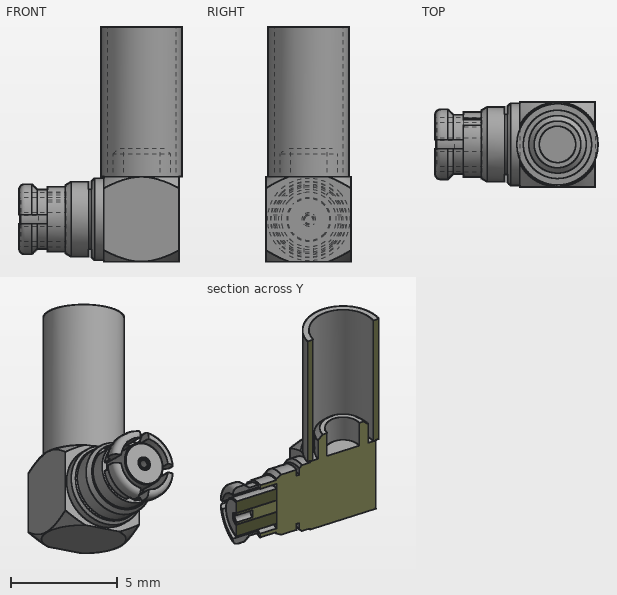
import cadquery as cq
import math


overall_height = 11.0
overall_length = 7.65

block_length = 3.52
block_width = 3.99
block_top = block_width / 2
block_left = -block_length / 2
face_diameter = 3.96
corner_slope = 0.8

ferrule_diameter = 3.81
ferrule_bore = 3.2
ferrule_length = overall_height - block_width

stub_diameter = 2.7
stub_bore = 1.7
stub_chamfer = 0.25
stub_height = 1.32

mouth_x = ferrule_diameter / 2 - overall_length
nose_radius = 0.28
bead_diameter = 3.32
bead_flat_end = 0.6
bead_end = 0.86
neck_diameter = 2.83
ring_start = 1.33
ring_diameter = 3.06
ring_end = 2.18
collar_front_diameter = 3.2
collar_diameter = 3.52
collar_chamfer_length = 0.26
collar_end = 3.27
flange_start = 3.4
flange_chamfer = 0.14
flange_diameter = 3.86
block_start = block_left - mouth_x

socket_bore = 2.56
socket_depth = 2.2
slot_width = 0.43
slot_count = 4
ring_gap_width = 0.46
ring_gap_angle = 45.0

dielectric_diameter = 2.06
dielectric_setback = 0.03
dielectric_chamfer = 0.04
contact_diameter = 0.64
contact_hole = 0.38
contact_hole_depth = 0.88
contact_countersink = 0.05


def plug_cylinder(diameter, start, end):
    """Cylinder on the plug axis between two distances behind the mouth."""
    plane = cq.Workplane("YZ", origin=(mouth_x + start, 0, 0))
    return plane.circle(diameter / 2).extrude(end - start)


def make_block():
    """Rectangular block whose corners are turned to cones about the Z axis."""
    box = cq.Workplane("XY").box(block_length, block_width, block_width)
    outer_radius = math.hypot(block_length, block_width) / 2 + 0.11
    face_radius = face_diameter / 2
    edge_height = block_top - corner_slope * (outer_radius - face_radius)
    turned = (
        cq.Workplane("XZ")
        .moveTo(0, -block_top)
        .lineTo(face_radius, -block_top)
        .lineTo(outer_radius, -edge_height)
        .lineTo(outer_radius, edge_height)
        .lineTo(face_radius, block_top)
        .lineTo(0, block_top)
        .close()
        .revolve(360, (0, 0, 0), (0, 1, 0))
    )
    return box.intersect(turned)


def make_barrel():
    """Turned outside of the plug, from its rounded nose back to the block."""
    bead_radius = bead_diameter / 2
    neck_radius = neck_diameter / 2
    ring_radius = ring_diameter / 2
    collar_radius = collar_diameter / 2
    flange_radius = flange_diameter / 2
    nose_arc_inset = nose_radius * (1 - math.sqrt(0.5))
    return (
        cq.Workplane("XY", origin=(mouth_x, 0, 0))
        .moveTo(0, 0)
        .lineTo(0, bead_radius - nose_radius)
        .threePointArc((nose_arc_inset, bead_radius - nose_arc_inset), (nose_radius, bead_radius))
        .lineTo(bead_flat_end, bead_radius)
        .lineTo(bead_end, neck_radius)
        .lineTo(ring_start, neck_radius)
        .lineTo(ring_start, ring_radius)
        .lineTo(ring_end, ring_radius)
        .lineTo(ring_end, collar_front_diameter / 2)
        .lineTo(ring_end + collar_chamfer_length, collar_radius)
        .lineTo(collar_end, collar_radius)
        .lineTo(collar_end, neck_radius)
        .lineTo(flange_start, neck_radius)
        .lineTo(flange_start, flange_radius - flange_chamfer)
        .lineTo(flange_start + flange_chamfer, flange_radius)
        .lineTo(block_start, flange_radius)
        .lineTo(block_start, 0)
        .close()
        .revolve(360, (0, 0, 0), (1, 0, 0))
    )


def make_finger_slot(angle):
    """Radial slot cutter that splits the plug mouth into spring fingers."""
    slot = cq.Workplane("XY").box(ring_start, slot_width, bead_diameter, centered=(False, True, False))
    return slot.translate((mouth_x, 0, 0)).rotate((0, 0, 0), (1, 0, 0), angle)


def make_ring_gap():
    """Cutter that interrupts the raised ring down to the neck diameter."""
    gap = (
        cq.Workplane("XY")
        .box(ring_end - ring_start, ring_gap_width, ring_diameter, centered=(False, True, False))
        .translate((mouth_x + ring_start, 0, 0))
        .rotate((0, 0, 0), (1, 0, 0), -ring_gap_angle)
    )
    return gap.cut(plug_cylinder(neck_diameter, ring_start, ring_end))


def make_cable_stub():
    """Hollow stub with a chamfered rim, standing on the block."""
    stub = (
        cq.Workplane("XY", origin=(0, 0, block_top))
        .circle(stub_diameter / 2)
        .extrude(stub_height)
        .faces(">Z")
        .chamfer(stub_chamfer)
    )
    bore = cq.Workplane("XY", origin=(0, 0, block_top)).circle(stub_bore / 2).extrude(stub_height)
    return stub.cut(bore)


def make_housing():
    housing = make_block().union(make_barrel()).union(make_cable_stub())
    housing = housing.cut(plug_cylinder(socket_bore, 0, socket_depth))
    for index in range(slot_count):
        housing = housing.cut(make_finger_slot(index * 360 / slot_count))
    return housing.cut(make_ring_gap())


def make_ferrule():
    """Plain tube resting on top of the block."""
    base = cq.Workplane("XY", origin=(0, 0, block_top))
    return base.circle(ferrule_diameter / 2).circle(ferrule_bore / 2).extrude(ferrule_length)


def make_dielectric():
    """Insulating plug on the socket floor, bored for the contact."""
    plug = plug_cylinder(dielectric_diameter, dielectric_setback, socket_depth)
    plug = plug.faces("<X").chamfer(dielectric_chamfer)
    return plug.cut(plug_cylinder(contact_diameter, dielectric_setback, socket_depth))


def make_contact():
    """Center socket, flush with the dielectric, with a countersunk hole."""
    contact = plug_cylinder(contact_diameter, dielectric_setback, socket_depth)
    hole_end = dielectric_setback + contact_hole_depth
    contact = contact.cut(plug_cylinder(contact_hole, dielectric_setback, hole_end))
    rim = contact.faces("<X").edges(cq.selectors.RadiusNthSelector(0))
    return rim.chamfer(contact_countersink)


housing = make_housing()
ferrule = make_ferrule()
dielectric = make_dielectric()
contact = make_contact()

result = cq.Compound.makeCompound([housing.solids().val(), ferrule.val(), dielectric.val(), contact.val()])